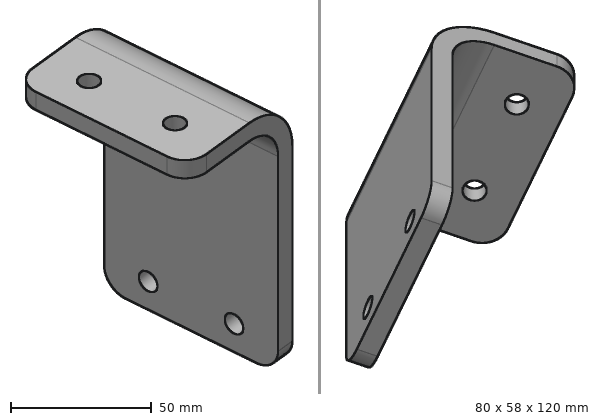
import cadquery as cq

width = 80.0
depth = 58.0
height = 120.0
thickness = 8.0

bend_outer_radius = 24.0
bend_inner_radius = bend_outer_radius - thickness
corner_radius = 10.0

hole_diameter = 8.5
hole_spacing = 39.5
wall_hole_height = 12.5
flange_hole_inset = 17.0

hole_positions = [-hole_spacing / 2, hole_spacing / 2]


def bent_plate():
    """L profile in the YZ plane, extruded across the width; the front edge is at Y = 0."""
    profile = (
        cq.Workplane("YZ")
        .moveTo(depth, 0)
        .lineTo(depth, height - bend_outer_radius)
        .radiusArc((depth - bend_outer_radius, height), -bend_outer_radius)
        .lineTo(0, height)
        .lineTo(0, height - thickness)
        .lineTo(depth - bend_outer_radius, height - thickness)
        .radiusArc((depth - thickness, height - bend_outer_radius), bend_inner_radius)
        .lineTo(depth - thickness, 0)
        .close()
    )
    return profile.extrude(width / 2, both=True)


def round_free_corners(plate):
    """Round the two corners at the free end of each leg."""
    plate = plate.faces("<Y").edges("|Z").fillet(corner_radius)
    return plate.faces("<Z").edges("|Y").fillet(corner_radius)


def hole_pair(plane, offset, length):
    """Two cylinders standing on the named plane, at the given offset along its second axis."""
    points = [(x, offset) for x in hole_positions]
    return cq.Workplane(plane).pushPoints(points).circle(hole_diameter / 2).extrude(length)


bracket = round_free_corners(bent_plate())

wall_holes = hole_pair("XZ", wall_hole_height, -depth)
flange_holes = hole_pair("XY", flange_hole_inset, height)

result = bracket.cut(wall_holes).cut(flange_holes)